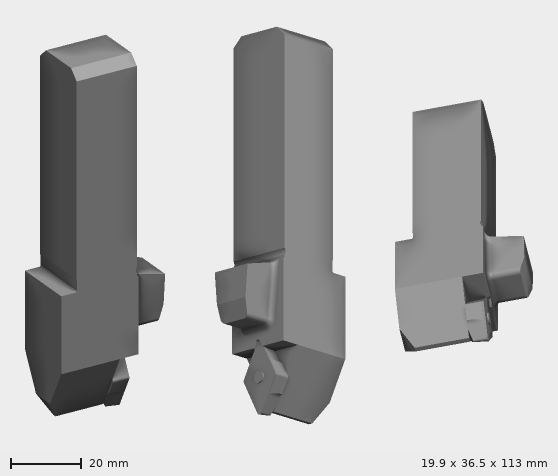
import cadquery as cq
import math

WIDTH = 19.9
TOTAL_HEIGHT = 113.0
TOP_CHAMFER_X = 3.0
TOP_CHAMFER_Z = 2.9

LEDGE_Z = 44.1
HEAD_FRONT_Y = -5.1
HEAD_BACK_Y = 20.5
BACK_CHAMFER = HEAD_BACK_Y - WIDTH
BACK_CHAMFER_BOTTOM_Z = 44.0

FRONT_GROOVE_DEPTH = 0.17
FRONT_GROOVE_TOP_Z = 47.8
FRONT_GROOVE_BEVEL = 0.3
BACK_GROOVE_DEPTH = 0.3
BACK_GROOVE_TOP_Z = 47.1
BACK_GROOVE_BOTTOM_Z = 45.2

POINT_HALF_ANGLE = math.radians(27.5)
NOSE_TOP_Z = 19.7
NOSE_BOTTOM_Z = 1.8
NOSE_BEVEL_TOP_Z = 8.0
NOSE_BEVEL_DEPTH = 3.7
SEAT_Y = 14.4

LUG_BACK_Y = 31.4
LUG_BACK_TOP_WIDTH = 12.8
LUG_DRAFT_ANGLE = 5.0
LUG_BLANK_HEIGHT = 22.6
LUG_BOTTOM_Z = 25.3
LUG_TOP_Y = 21.1
LUG_BACK_TOP_Z = 40.7
LUG_BEVEL_Z = 31.0
LUG_BEVEL_DEPTH = 1.5
LUG_CORNER_RADIUS = 1.6
LUG_BASE_FILLET = 1.7

INSERT_THICKNESS = 5.4
INSERT_CENTER_Z = 11.0
INSERT_CORNER_RADIUS = 0.9
RELIEF_ANGLE = 7.0
RELIEF_BAND = 0.7
PAD_HALF_HEIGHT = 5.8
PAD_BLANK_HALF_HEIGHT = 7.9
PAD_END_RADIUS = 1.8
BACK_BEVEL_START = 6.7
BACK_BEVEL_ANGLE = 17.0
SCREW_BOSS_DIAMETER = 3.5
SCREW_BOSS_HEIGHT = 0.5

RAKE_Y = SEAT_Y + INSERT_THICKNESS
SELECT_MARGIN = 0.1

TAN_POINT = math.tan(POINT_HALF_ANGLE)
TAN_RELIEF = math.tan(math.radians(RELIEF_ANGLE))
CORNER_SETBACK = INSERT_CORNER_RADIUS * (1 / math.sin(POINT_HALF_ANGLE) - 1)
INSERT_HALF_HEIGHT = INSERT_CENTER_Z + CORNER_SETBACK


def holder_side_profile():
    """Shank and head seen along X, with the grooves, nose bevel and insert seat."""
    return (
        cq.Workplane("YZ")
        .moveTo(0, TOTAL_HEIGHT)
        .lineTo(0, FRONT_GROOVE_TOP_Z)
        .lineTo(FRONT_GROOVE_DEPTH, FRONT_GROOVE_TOP_Z - FRONT_GROOVE_DEPTH)
        .lineTo(FRONT_GROOVE_DEPTH, LEDGE_Z + FRONT_GROOVE_BEVEL)
        .lineTo(FRONT_GROOVE_DEPTH - FRONT_GROOVE_BEVEL, LEDGE_Z)
        .lineTo(HEAD_FRONT_Y, LEDGE_Z)
        .lineTo(HEAD_FRONT_Y, NOSE_BEVEL_TOP_Z)
        .lineTo(HEAD_FRONT_Y + NOSE_BEVEL_DEPTH, NOSE_BOTTOM_Z)
        .lineTo(SEAT_Y, NOSE_BOTTOM_Z)
        .lineTo(SEAT_Y, NOSE_TOP_Z)
        .lineTo(HEAD_BACK_Y, NOSE_TOP_Z)
        .lineTo(HEAD_BACK_Y, BACK_CHAMFER_BOTTOM_Z)
        .lineTo(WIDTH, BACK_CHAMFER_BOTTOM_Z + BACK_CHAMFER)
        .lineTo(WIDTH, BACK_GROOVE_BOTTOM_Z)
        .threePointArc(
            (WIDTH - BACK_GROOVE_DEPTH, (BACK_GROOVE_BOTTOM_Z + BACK_GROOVE_TOP_Z) / 2),
            (WIDTH, BACK_GROOVE_TOP_Z),
        )
        .lineTo(WIDTH, TOTAL_HEIGHT)
        .close()
        .extrude(WIDTH / 2, both=True)
    )


def holder_front_outline():
    """Block with the shank's chamfered top and the head's pointed nose."""
    half = WIDTH / 2
    nose_half = half - (NOSE_TOP_Z - NOSE_BOTTOM_Z) * TAN_POINT
    right_side = [
        (nose_half, NOSE_BOTTOM_Z),
        (half, NOSE_TOP_Z),
        (half, TOTAL_HEIGHT - TOP_CHAMFER_Z),
        (half - TOP_CHAMFER_X, TOTAL_HEIGHT),
    ]
    left_side = [(-x, z) for x, z in reversed(right_side)]
    return (
        cq.Workplane("XZ", origin=(0, LUG_BACK_Y, 0))
        .polyline(right_side + left_side)
        .close()
        .extrude(LUG_BACK_Y - HEAD_FRONT_Y)
    )


def make_lug():
    """Lug that narrows downward, on a backing slab that merges into the head."""
    blank_top_z = LUG_BOTTOM_Z + LUG_BLANK_HEIGHT
    tan_draft = math.tan(math.radians(LUG_DRAFT_ANGLE))
    top_half = LUG_BACK_TOP_WIDTH / 2 + (blank_top_z - LUG_BACK_TOP_Z) * tan_draft
    bottom_half = top_half - LUG_BLANK_HEIGHT * tan_draft
    lug = (
        cq.Workplane("XZ", origin=(0, LUG_BACK_Y, 0))
        .polyline([
            (-bottom_half, LUG_BOTTOM_Z),
            (bottom_half, LUG_BOTTOM_Z),
            (top_half, blank_top_z),
            (-top_half, blank_top_z),
        ])
        .close()
        .extrude(LUG_BACK_Y - HEAD_BACK_Y)
        .edges("|Y and <Z")
        .fillet(LUG_CORNER_RADIUS)
    )
    slab = (
        cq.Workplane("XZ", origin=(0, HEAD_BACK_Y, 0))
        .moveTo(0, (NOSE_TOP_Z + blank_top_z) / 2)
        .rect(WIDTH, blank_top_z - NOSE_TOP_Z)
        .extrude(HEAD_BACK_Y - SEAT_Y)
    )
    lug_base = cq.selectors.BoxSelector(
        (-top_half, HEAD_BACK_Y - SELECT_MARGIN, LUG_BOTTOM_Z - SELECT_MARGIN),
        (top_half, HEAD_BACK_Y + SELECT_MARGIN, blank_top_z - SELECT_MARGIN),
    )
    lug = slab.union(lug).edges(lug_base).fillet(LUG_BASE_FILLET)
    side = (
        cq.Workplane("YZ")
        .polyline([
            (SEAT_Y, NOSE_TOP_Z),
            (HEAD_BACK_Y, NOSE_TOP_Z),
            (LUG_BACK_Y - LUG_BEVEL_DEPTH, LUG_BOTTOM_Z),
            (LUG_BACK_Y, LUG_BEVEL_Z),
            (LUG_BACK_Y, LUG_BACK_TOP_Z),
            (LUG_TOP_Y, BACK_CHAMFER_BOTTOM_Z + HEAD_BACK_Y - LUG_TOP_Y),
            (WIDTH, BACK_CHAMFER_BOTTOM_Z + BACK_CHAMFER),
            (SEAT_Y, BACK_CHAMFER_BOTTOM_Z + BACK_CHAMFER),
        ])
        .close()
        .extrude(WIDTH / 2, both=True)
    )
    return lug.intersect(side)


def rhombus_prism(inset, depth, thickness, taper=0):
    """Rhombus extruded toward -Y from `depth` below the rake face, with rounded corners.

    `inset` is the distance of its sides inside the cutting edge.
    """
    half_height = INSERT_HALF_HEIGHT - inset / math.sin(POINT_HALF_ANGLE)
    half_width = half_height * TAN_POINT
    corners = [(0, -half_height), (half_width, 0), (0, half_height), (-half_width, 0)]
    outline = cq.Sketch().polygon(corners + corners[:1]).vertices().fillet(INSERT_CORNER_RADIUS)
    return (
        cq.Workplane("XZ", origin=(0, RAKE_Y - depth, INSERT_CENTER_Z))
        .placeSketch(outline)
        .extrude(thickness, taper=taper)
    )


def relief_cutter():
    """Cutter that grinds the relief on the lower +X side, with a round run-out at the pad."""
    sin_point = math.sin(POINT_HALF_ANGLE)
    cos_point = math.cos(POINT_HALF_ANGLE)
    sin_relief = math.sin(math.radians(RELIEF_ANGLE))
    cos_relief = math.cos(math.radians(RELIEF_ANGLE))
    pad_end_x = (INSERT_HALF_HEIGHT - PAD_HALF_HEIGHT) * TAN_POINT
    relief_plane = cq.Plane(
        origin=(pad_end_x, RAKE_Y, INSERT_CENTER_Z - PAD_HALF_HEIGHT),
        xDir=(-sin_point, 0, -cos_point),
        normal=(-cos_point * sin_relief, -cos_relief, sin_point * sin_relief),
    )
    radius = PAD_END_RADIUS
    arc_mid = radius * math.sqrt(0.5)
    return (
        cq.Workplane(relief_plane)
        .moveTo(INSERT_HALF_HEIGHT, 0)
        .lineTo(0, 0)
        .threePointArc((-arc_mid, radius - arc_mid), (-radius, radius))
        .lineTo(INSERT_HALF_HEIGHT, radius)
        .close()
        .extrude(2 * INSERT_THICKNESS)
    )


def make_side_pads():
    """Straight-sided middle of the insert, ground back to the relief toward both points."""
    pads = rhombus_prism(RELIEF_BAND * TAN_RELIEF, RELIEF_BAND, INSERT_THICKNESS - RELIEF_BAND)
    blank = cq.Workplane("XY", origin=(0, RAKE_Y, INSERT_CENTER_Z)).box(
        WIDTH, 2 * INSERT_THICKNESS, 2 * PAD_BLANK_HALF_HEIGHT
    )
    pads = pads.intersect(blank)
    lower_plus_x = relief_cutter()
    lower_minus_x = lower_plus_x.mirror("YZ")
    for cutter in (lower_plus_x, lower_minus_x):
        upper_cutter = cutter.mirror("XY", (0, 0, INSERT_CENTER_Z))
        pads = pads.cut(cutter).cut(upper_cutter)
    return pads


def back_bevel_cutter():
    """Wedge that bevels the back of the lower point."""
    start_z = INSERT_CENTER_Z - BACK_BEVEL_START
    length = INSERT_HALF_HEIGHT - BACK_BEVEL_START
    rise = length * math.tan(math.radians(BACK_BEVEL_ANGLE))
    return (
        cq.Workplane("YZ")
        .polyline([(SEAT_Y, start_z), (SEAT_Y + rise, start_z - length), (SEAT_Y, start_z - length)])
        .close()
        .extrude(WIDTH / 2, both=True)
    )


def make_insert():
    """Rhombic insert with relieved points, side pads and the screw end on its rake face."""
    body = rhombus_prism(0, 0, INSERT_THICKNESS, RELIEF_ANGLE).union(make_side_pads())
    lower_bevel = back_bevel_cutter()
    upper_bevel = lower_bevel.mirror("XY", (0, 0, INSERT_CENTER_Z))
    screw_boss = (
        cq.Workplane("XZ", origin=(0, RAKE_Y, INSERT_CENTER_Z))
        .circle(SCREW_BOSS_DIAMETER / 2)
        .extrude(-SCREW_BOSS_HEIGHT)
    )
    return body.cut(lower_bevel).cut(upper_bevel).union(screw_boss)


def make_holder(insert):
    """Shank, head and lug, with a pocket above the nose for the upper point of the insert."""
    body = holder_side_profile().intersect(holder_front_outline())
    body = body.union(make_lug())
    pocket_opening = rhombus_prism(0, RAKE_Y - HEAD_BACK_Y, HEAD_BACK_Y - RAKE_Y)
    return body.cut(insert).cut(pocket_opening)


insert = make_insert()
holder = make_holder(insert)
result = cq.Compound.makeCompound([holder.solids().val(), insert.solids().val()])